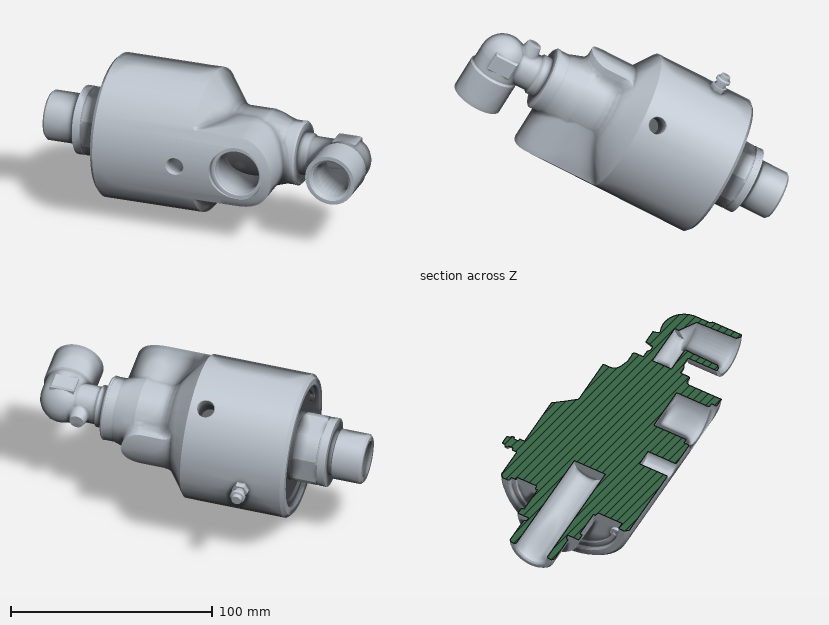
import cadquery as cq
import math


thread_diameter = 25.4
thread_chamfer = 1.1
undercut_diameter = 22.63
thread_end_x = 15.8
thread_runout = 0.7
flange_start_x = 17.5
flange_split_x = 19.0
flange_end_x = 21.4
flange_diameter = 34.9
shaft_diameter = 34.8
flat_width = 32.0
flat_end_x = 35.0
groove_depth = 0.5
groove_width = 0.9
shaft_bore_diameter = 17.5
shaft_bore_mouth = 19.0
shaft_bore_depth = 60.0

drum_diameter = 73.0
drum_radius = drum_diameter / 2
drum_start_x = 33.3
drum_end_x = 86.5
drum_chamfer = 1.8
neck_radius = 19.8
cone_angle = 51.3
cone_end_x = drum_end_x + (drum_radius - neck_radius) / math.tan(math.radians(cone_angle))
cone_blend = 5.0
neck_end_x = 116.0
collar_radius = 16.1
collar_start_x = 127.5
collar_end_x = 134.0
rim_radius = 16.3
rim_start_x = 132.3
collar_chamfer = 0.8

recess_diameter = 62.0
recess_mouth = 63.0
recess_depth = 3.7
recess_floor_x = drum_start_x + recess_depth
ring_thickness = 1.5
ring_bore = 56.8
ring_lug_radius = 3.2
ring_lug_y = -28.4
ring_lug_z = 8.4
ring_hole_diameter = 2.79

port_x = 110.4
lobe_radius = 19.0
lobe_blend = 2.0
boss_radius = 9.8
boss_height = 25.8
boss_blend = 4.8
port_seat_diameter = 27.8
port_seat_y = -33.5
port_diameter = 23.2
port_chamfer = 0.4
port_core_diameter = 30.0

weep_x = 78.5
weep_diameter = 8.6
weep_mouth = 9.6
weep_depth = 16.0
weep_count = 3

nipple_x = 54.9
nipple_length = 9.13
nipple_hex_width = 7.0
nipple_hex_height = 2.8
nipple_neck_radius = 5.36 / 2
nipple_collar_radius = 3.75
nipple_collar_start = 5.5
nipple_collar_end = 6.9
nipple_bevel = 0.5
nipple_tip_radius = 2.5

stub_diameter = 21.3
stub_end_x = 138.0
stub_taper = 1.1
pipe_diameter = 19.0
socket_diameter = 26.0
total_length = 169.72
elbow_x = total_length - socket_diameter / 2
elbow_radius = 12.0
pipe_end_x = elbow_x - 2.0
elbow_skirt_y = -8.0
socket_start_y = -8.95
socket_end_y = -25.8
socket_bore = 19.0
socket_bore_bottom = 17.48
socket_bore_mouth = 22.0
socket_bore_end_y = -2.2
drill_point_angle = 118.0
cross_bore_diameter = 10.72
pad_length = 12.4
pad_width = 9.8
pad_height = 12.0
pad_chamfer = 0.8
nub_x = 146.4
nub_radius = 6.2
nub_top_radius = 3.7
nub_height = 14.1
nub_start_y = 4.0
nub_blend = 1.0

tolerance = 0.1

X_AXIS = ((0, 0, 0), (1, 0, 0))


def turned_x(points):
    """Solid of revolution about X from (x, radius) points; closed on the axis."""
    outline = [(points[0][0], 0)] + points + [(points[-1][0], 0)]
    return cq.Workplane("XY").polyline(outline).close().revolve(360, *X_AXIS)


def turned_y(points, x):
    """Solid of revolution about a line parallel to Y at the given x, from (y, radius) points."""
    outline = [(0, points[0][0])] + [(r, y) for y, r in points]
    if points[-1][1] > 0:
        outline.append((0, points[-1][0]))
    solid = cq.Workplane("XY").polyline(outline).close().revolve(360, (0, 0, 0), (0, 1, 0))
    return solid.translate((x, 0, 0))


def rod_x(diameter, start, end):
    return turned_x([(start, diameter / 2), (end, diameter / 2)])


def prism_y(sketch_xz, y_start, y_end):
    """Extrude an XZ sketch function between two Y stations."""
    plane = cq.Workplane("XZ", origin=(0, y_start, 0))
    return sketch_xz(plane).extrude(y_start - y_end)


def make_shaft():
    thread_r = thread_diameter / 2
    undercut_r = undercut_diameter / 2
    shaft = turned_x([
        (0, thread_r - thread_chamfer),
        (thread_chamfer, thread_r),
        (thread_end_x - thread_runout, thread_r),
        (thread_end_x, undercut_r),
        (flange_start_x, undercut_r),
    ])
    washer = rod_x(flange_diameter, flange_start_x, flange_split_x)
    flange = rod_x(shaft_diameter, flange_split_x, flange_end_x)

    shank_r = shaft_diameter / 2
    groove_r = shank_r - groove_depth
    groove_end = flange_end_x + groove_width
    rear_groove_start = flat_end_x - groove_width
    shank = turned_x([
        (flange_end_x, groove_r),
        (groove_end, groove_r),
        (groove_end, shank_r),
        (rear_groove_start, shank_r),
        (rear_groove_start, groove_r),
        (flat_end_x, groove_r),
    ])
    length = flat_end_x - flange_end_x
    square = cq.Workplane("XY").box(length, flat_width, flat_width)
    shank = shank.intersect(square.translate((flange_end_x + length / 2, 0, 0)))
    shoulder = rod_x(shaft_diameter, flat_end_x, recess_floor_x)
    return shaft.union(washer).union(flange).union(shank).union(shoulder)


def make_drum_and_neck():
    """Drum, cone, neck, taper and collar turned in one piece, with the cone blended into the neck."""
    profile = turned_x([
        (drum_start_x, drum_radius - drum_chamfer),
        (drum_start_x + drum_chamfer, drum_radius),
        (drum_end_x, drum_radius),
        (cone_end_x, neck_radius),
        (neck_end_x, neck_radius),
        (collar_start_x, collar_radius),
        (rim_start_x, collar_radius),
        (rim_start_x, rim_radius),
        (collar_end_x - collar_chamfer, rim_radius),
        (collar_end_x, rim_radius - collar_chamfer),
    ])
    seam_reach = neck_radius + tolerance
    seam = cq.selectors.BoxSelector(
        (cone_end_x - tolerance, -seam_reach, -seam_reach),
        (cone_end_x + tolerance, seam_reach, seam_reach),
        boundingbox=True,
    )
    return profile.edges(seam).fillet(cone_blend)


def rounded_tongue(radius, y_end):
    """Tongue along X that ends in a half round centred on the port."""
    start_x = drum_end_x - lobe_radius

    def outline(plane):
        return (
            plane.moveTo(start_x, -radius)
            .lineTo(port_x, -radius)
            .threePointArc((port_x + radius, 0), (port_x, radius))
            .lineTo(start_x, radius)
            .close()
        )

    return prism_y(outline, 0, y_end)


def behind_drum(edge):
    return edge.BoundingBox().xmax > drum_end_x + tolerance


def is_curved_seam(edge):
    """True for the free curves where two bodies meet, not for straight or circular edges."""
    return edge.geomType() not in ("LINE", "CIRCLE")


def blend_lobe(body):
    """Round the seam between the lobe and the cone, neck and taper, leaving the lobe's outer rim sharp."""
    rim_y = -math.sqrt(drum_radius**2 - lobe_radius**2)
    seam = [
        edge for edge in body.edges().vals()
        if behind_drum(edge)
        and is_curved_seam(edge)
        and rim_y + tolerance < edge.BoundingBox().ymax < 0
    ]
    return body.newObject(seam).fillet(lobe_blend)


def blend_boss(body):
    """Round the seam between the boss and the cone and neck, leaving the boss's outer rim sharp."""
    rim_y = math.sqrt(boss_height**2 - boss_radius**2)
    seam = [
        edge for edge in body.edges().vals()
        if behind_drum(edge)
        and is_curved_seam(edge)
        and boss_radius < edge.BoundingBox().ymin < rim_y - tolerance
    ]
    return body.newObject(seam).fillet(boss_blend)


def make_housing():
    housing = make_drum_and_neck()
    far_x = port_x + lobe_radius + 1
    lobe = rounded_tongue(lobe_radius, -drum_diameter)
    lobe = lobe.intersect(rod_x(drum_diameter, drum_start_x, far_x))
    boss = rounded_tongue(boss_radius, drum_diameter)
    boss = boss.intersect(rod_x(2 * boss_height, drum_start_x, far_x))
    housing = housing.union(lobe).union(boss)
    return blend_boss(blend_lobe(housing))


def cut_recess(body):
    cutter = turned_x([
        (drum_start_x, recess_mouth / 2),
        (drum_start_x + (recess_mouth - recess_diameter) / 2, recess_diameter / 2),
        (recess_floor_x, recess_diameter / 2),
    ])
    return body.cut(cutter)


def make_retaining_ring():
    start = recess_floor_x - ring_thickness

    def disc(diameter, y=0, z=0):
        return rod_x(diameter, start, recess_floor_x).translate((0, y, z))

    ring = disc(recess_diameter).cut(disc(ring_bore))
    gap = cq.Workplane("XY").box(ring_thickness, recess_diameter, 2 * ring_lug_z)
    gap = gap.translate((start + ring_thickness / 2, -recess_diameter / 2, 0))
    ring = ring.cut(gap)
    for side in (-1, 1):
        lug = disc(2 * ring_lug_radius, ring_lug_y, side * ring_lug_z)
        ring = ring.union(lug.intersect(disc(recess_diameter)))
    for side in (-1, 1):
        ring = ring.cut(disc(ring_hole_diameter, ring_lug_y, side * ring_lug_z))
    return ring


def make_side_port_cutter():
    """Counterbored port that stops on the round core of the housing."""
    port_r = port_diameter / 2
    cutter = turned_y([
        (-drum_diameter, port_seat_diameter / 2),
        (port_seat_y, port_seat_diameter / 2),
        (port_seat_y, port_r + port_chamfer),
        (port_seat_y + port_chamfer, port_r),
        (0, port_r),
    ], port_x)
    return cutter.cut(rod_x(port_core_diameter, drum_start_x, collar_end_x))


def make_weep_cutter():
    weep_bevel = (weep_mouth - weep_diameter) / 2
    hole = turned_y([
        (-drum_radius - weep_bevel, weep_mouth / 2 + weep_bevel),
        (-drum_radius + weep_bevel, weep_diameter / 2),
        (-drum_radius + weep_depth, weep_diameter / 2),
    ], weep_x)
    cutter = hole
    for i in range(1, weep_count):
        cutter = cutter.union(hole.rotate(*X_AXIS, i * 360 / weep_count))
    return cutter


def make_nipple():
    embed = 1.0
    corner_diameter = nipple_hex_width / math.cos(math.pi / 6)
    base = prism_y(
        lambda plane: plane.polygon(6, corner_diameter), -embed, nipple_hex_height
    )
    stem = turned_y([
        (0, nipple_neck_radius),
        (nipple_collar_start - nipple_bevel, nipple_neck_radius),
        (nipple_collar_start, nipple_collar_radius),
        (nipple_collar_end, nipple_collar_radius),
        (nipple_collar_end + nipple_bevel, nipple_neck_radius),
        (nipple_length, nipple_tip_radius),
    ], 0)
    return base.union(stem).translate((nipple_x, drum_radius, 0))


def make_elbow():
    stub = turned_x([
        (collar_end_x, stub_diameter / 2),
        (stub_end_x, stub_diameter / 2),
        (stub_end_x + stub_taper, pipe_diameter / 2),
        (pipe_end_x, pipe_diameter / 2),
    ])
    dome_mid = elbow_radius * math.sqrt(0.5)
    bend = (
        cq.Workplane("XY")
        .moveTo(0, elbow_radius)
        .threePointArc((dome_mid, dome_mid), (elbow_radius, 0))
        .lineTo(elbow_radius, elbow_skirt_y)
        .lineTo(socket_diameter / 2, socket_start_y)
        .lineTo(socket_diameter / 2, socket_end_y)
        .lineTo(0, socket_end_y)
        .close()
        .revolve(360, (0, 0, 0), (0, 1, 0))
        .translate((elbow_x, 0, 0))
    )
    pads = cq.Workplane("XY").box(pad_length, pad_width, 2 * pad_height)
    pads = pads.faces("|Z").edges().chamfer(pad_chamfer).translate((elbow_x, 0, 0))
    nub = turned_y([
        (nub_start_y, nub_radius),
        (nub_height, nub_top_radius),
    ], nub_x)
    elbow = bend.union(pads).union(stub).union(nub)
    nub_seam = [
        edge for edge in elbow.edges().vals()
        if is_curved_seam(edge)
        and edge.BoundingBox().ymin > nub_start_y
        and edge.BoundingBox().xmin < nub_x + nub_radius
    ]
    return elbow.newObject(nub_seam).fillet(nub_blend)


def make_elbow_cutter():
    mouth_bevel = (socket_bore_mouth - socket_bore) / 2
    drill_tip = socket_bore_bottom / 2 / math.tan(math.radians(drill_point_angle / 2))
    socket = turned_y([
        (socket_end_y, socket_bore_mouth / 2),
        (socket_end_y + mouth_bevel, socket_bore / 2),
        (socket_bore_end_y, socket_bore_bottom / 2),
        (socket_bore_end_y + drill_tip, 0),
    ], elbow_x)
    return socket.union(rod_x(cross_bore_diameter, collar_end_x, elbow_x))


def make_shaft_bore():
    bevel = (shaft_bore_mouth - shaft_bore_diameter) / 2
    return turned_x([
        (0, shaft_bore_mouth / 2),
        (bevel, shaft_bore_diameter / 2),
        (shaft_bore_depth, shaft_bore_diameter / 2),
    ])


housing = make_housing()
housing = housing.cut(make_side_port_cutter()).cut(make_weep_cutter())
housing = cut_recess(housing)
result = housing.union(make_retaining_ring()).union(make_shaft()).cut(make_shaft_bore())
result = result.union(make_nipple())
result = result.union(make_elbow()).cut(make_elbow_cutter())